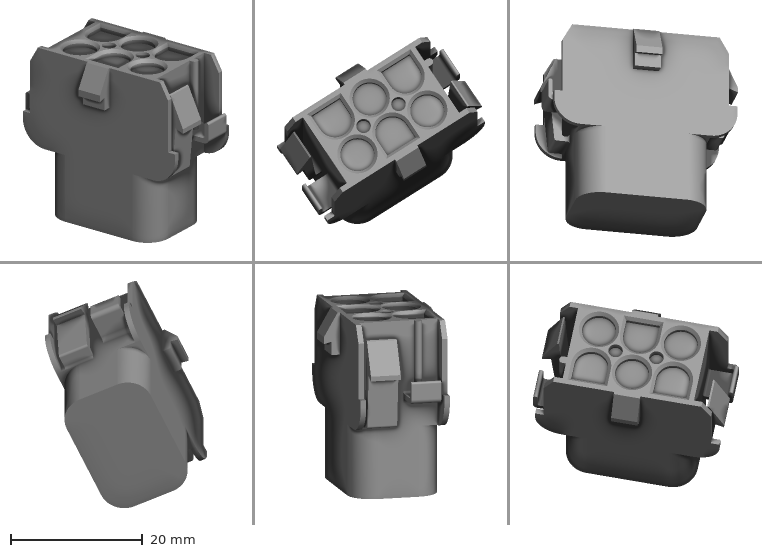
import cadquery as cq
import math


overlap = 0.3

height = 27.52
body_half_x = 10.15
body_half_y = 7.0
body_corner_radius = 3.83

plate_thickness = 0.85
plate_bottom_z = 11.03
plate_step_z = 16.32
plate_base_half_x = 14.27
plate_side_half_x = 12.95
plate_top_half_x = 11.47
plate_chamfer_height = 2.62
plate_corner_radius = plate_base_half_x - body_half_x

pocket_pitch = 6.33
pocket_mouth_radius = 3.05
pocket_chamfer = 0.48
pocket_radius = pocket_mouth_radius - pocket_chamfer
pocket_depth = 1.1
lead_in_angle = 45
small_hole_radius = 1.1

wedge_width = 4.05
wedge_top_half_y = 7.37
wedge_tip_span_y = 19.05
wedge_tip_half_y = wedge_tip_span_y / 2
wedge_stem_half_y = 8.32
wedge_slope_end_z = 23.85
wedge_tip_bottom_z = 22.75
wedge_undercut_z = 23.05
wedge_bottom_z = 20.98

clip_width = 4.7
clip_offset_y = pocket_pitch / 2

hook_outer_x = 14.85
hook_wall = 0.68
hook_tip_z = 18.85
hook_shelf_thickness = 0.8
hook_shelf_bottom_z = 15.4
hook_outer_radius = 0.7
hook_inner_radius = 0.45
hook_root_radius = 0.45

latch_tip_x = 14.68
latch_tip_bottom_z = 19.32
latch_slope_bottom_z = 20.05
latch_undercut_x = 13.3
latch_undercut_z = 19.85
latch_top_outer_x = 12.35
latch_top_outer_z = 25.02
latch_top_inner_x = 12.1
latch_top_inner_z = 25.17
latch_outer_base_x = 12.5
latch_inner_base_x = 11.32
latch_base_bottom_z = 11.5
latch_base_thickness = 0.8
latch_outer_radius = 0.4
latch_inner_radius = 0.42
latch_root_radius = 0.53

rib_width = 1.13
rib_reach = 1.13
rib_y = 3.0


def box_between(x_range, y_range, z_range):
    """Box spanning the given (low, high) ranges."""
    spans = [high - low for low, high in (x_range, y_range, z_range)]
    corner = (x_range[0], y_range[0], z_range[0])
    return cq.Workplane("XY").box(*spans, centered=False).translate(corner)


def make_body():
    """Rounded plug at the bottom, square-cornered block above it."""
    plug = (
        cq.Workplane("XY")
        .rect(2 * body_half_x, 2 * body_half_y)
        .extrude(plate_bottom_z)
        .edges("|Z")
        .fillet(body_corner_radius)
    )
    block = box_between(
        (-body_half_x, body_half_x), (-body_half_y, body_half_y), (plate_bottom_z, height)
    )
    return plug.union(block)


def make_plate():
    """Wing plate standing against the -Y face."""
    arc_z = plate_bottom_z + plate_corner_radius
    arc_middle_x = body_half_x + plate_corner_radius * math.sqrt(0.5)
    arc_middle_z = arc_z - plate_corner_radius * math.sqrt(0.5)
    shoulder_z = height - plate_chamfer_height
    return (
        cq.Workplane("XZ", origin=(0, -body_half_y, 0))
        .moveTo(-body_half_x, plate_bottom_z)
        .lineTo(body_half_x, plate_bottom_z)
        .threePointArc((arc_middle_x, arc_middle_z), (plate_base_half_x, arc_z))
        .lineTo(plate_base_half_x, plate_step_z)
        .lineTo(plate_side_half_x, plate_step_z)
        .lineTo(plate_side_half_x, shoulder_z)
        .lineTo(plate_top_half_x, height)
        .lineTo(-plate_top_half_x, height)
        .lineTo(-plate_side_half_x, shoulder_z)
        .lineTo(-plate_side_half_x, plate_step_z)
        .lineTo(-plate_base_half_x, plate_step_z)
        .lineTo(-plate_base_half_x, arc_z)
        .threePointArc((-arc_middle_x, arc_middle_z), (-body_half_x, plate_bottom_z))
        .close()
        .extrude(-plate_thickness)
    )


def make_wedge():
    """Locking wedge with an undercut tip on the +Y face."""
    root_y = body_half_y - overlap
    outline = [
        (root_y, height),
        (wedge_top_half_y, height),
        (wedge_tip_half_y, wedge_slope_end_z),
        (wedge_tip_half_y, wedge_tip_bottom_z),
        (wedge_stem_half_y, wedge_undercut_z),
        (wedge_stem_half_y, wedge_bottom_z),
        (root_y, wedge_bottom_z),
    ]
    return cq.Workplane("YZ").polyline(outline).close().extrude(wedge_width / 2, both=True)


def clip_from_outline(outline, centre_y):
    """Closed XZ outline, extruded to the clip width about centre_y."""
    clip = cq.Workplane("XZ").polyline(outline).close().extrude(clip_width / 2, both=True)
    return clip.translate((0, centre_y, 0))


def round_edge(solid, x, z, radius):
    """Fillet the edge along Y that passes through (x, z)."""
    reach = 0.015
    edge_box = cq.selectors.BoxSelector(
        (x - reach, -body_half_y, z - reach), (x + reach, body_half_y, z + reach)
    )
    return solid.edges(edge_box).fillet(radius)


def make_hook():
    """J-shaped hook on the +X side, +Y half."""
    shelf_top_z = hook_shelf_bottom_z + hook_shelf_thickness
    lip_x = hook_outer_x - hook_wall
    root_top_z = shelf_top_z + 2 * hook_root_radius
    root_bottom_z = hook_shelf_bottom_z - 2 * hook_outer_radius
    tip_radius = hook_wall / 2
    root_x = body_half_x - overlap
    outline = [
        (root_x, root_bottom_z),
        (body_half_x, root_bottom_z),
        (body_half_x, hook_shelf_bottom_z),
        (hook_outer_x, hook_shelf_bottom_z),
        (hook_outer_x, hook_tip_z - tip_radius),
        (lip_x, hook_tip_z - tip_radius),
        (lip_x, shelf_top_z),
        (body_half_x, shelf_top_z),
        (body_half_x, root_top_z),
        (root_x, root_top_z),
    ]
    hook = clip_from_outline(outline, clip_offset_y)
    hook = round_edge(hook, body_half_x, hook_shelf_bottom_z, hook_outer_radius)
    hook = round_edge(hook, hook_outer_x, hook_shelf_bottom_z, hook_outer_radius)
    hook = round_edge(hook, lip_x, shelf_top_z, hook_inner_radius)
    hook = round_edge(hook, body_half_x, shelf_top_z, hook_root_radius)
    tip = (
        cq.Workplane("XZ")
        .center(hook_outer_x - tip_radius, hook_tip_z - tip_radius)
        .circle(tip_radius)
        .extrude(clip_width / 2, both=True)
        .translate((0, clip_offset_y, 0))
    )
    return hook.union(tip)


def make_latch():
    """Sprung latch on the +X side, -Y half, standing on a short foot."""
    foot_top_z = latch_base_bottom_z + latch_base_thickness
    root_top_z = foot_top_z + 2 * latch_root_radius
    root_x = body_half_x - overlap
    outline = [
        (root_x, plate_bottom_z),
        (body_half_x, plate_bottom_z),
        (body_half_x, latch_base_bottom_z),
        (latch_outer_base_x, latch_base_bottom_z),
        (latch_undercut_x, latch_undercut_z),
        (latch_tip_x, latch_tip_bottom_z),
        (latch_tip_x, latch_slope_bottom_z),
        (latch_top_outer_x, latch_top_outer_z),
        (latch_top_inner_x, latch_top_inner_z),
        (latch_inner_base_x, foot_top_z),
        (body_half_x, foot_top_z),
        (body_half_x, root_top_z),
        (root_x, root_top_z),
    ]
    latch = clip_from_outline(outline, -clip_offset_y)
    latch = round_edge(latch, body_half_x, latch_base_bottom_z, latch_outer_radius)
    latch = round_edge(latch, latch_outer_base_x, latch_base_bottom_z, latch_outer_radius)
    latch = round_edge(latch, latch_inner_base_x, foot_top_z, latch_inner_radius)
    return round_edge(latch, body_half_x, foot_top_z, latch_root_radius)


def make_rib():
    """Round-nosed keying rib from the top face down to the hook's shelf."""
    nose_radius = rib_width / 2
    nose_x = body_half_x + rib_reach - nose_radius
    base_z = hook_shelf_bottom_z + hook_shelf_thickness / 2
    web = box_between(
        (body_half_x - overlap, nose_x),
        (rib_y - nose_radius, rib_y + nose_radius),
        (base_z, height),
    )
    nose = (
        cq.Workplane("XY", origin=(nose_x, rib_y, base_z))
        .circle(nose_radius)
        .extrude(height - base_z)
    )
    return web.union(nose)


def pocket_outline(x, y, radius, flat_side):
    """Circle, or a D whose square half points to flat_side (+1 or -1 along Y)."""
    plane = cq.Workplane("XY", origin=(x, y, height))
    if flat_side == 0:
        return plane.circle(radius)
    return (
        plane.moveTo(-radius, 0)
        .threePointArc((0, -flat_side * radius), (radius, 0))
        .lineTo(radius, flat_side * radius)
        .lineTo(-radius, flat_side * radius)
        .close()
    )


def make_pocket(x, y, flat_side):
    """Shallow contact pocket with a 45 degree lead-in at its mouth."""
    mouth = pocket_outline(x, y, pocket_mouth_radius, flat_side)
    lead_in = mouth.extrude(-pocket_chamfer, taper=lead_in_angle)
    well = pocket_outline(x, y, pocket_radius, flat_side).extrude(-pocket_depth)
    return lead_in.union(well)


part = make_body()
for turn in (0, 180):
    plate = make_plate().rotate((0, 0, 0), (0, 0, 1), turn)
    wedge = make_wedge().rotate((0, 0, 0), (0, 0, 1), turn)
    part = part.union(plate).union(wedge)

for turn in (0, 180):
    for clip in (make_hook(), make_latch()):
        part = part.union(clip.rotate((0, 0, 0), (0, 0, 1), turn))
part = part.union(make_rib())

for row in (-1, 1):
    for column in (-1, 0, 1):
        is_d_shaped = (column == 0) == (row == -1)
        flat_side = row if is_d_shaped else 0
        part = part.cut(make_pocket(column * pocket_pitch, row * pocket_pitch / 2, flat_side))

for side in (-1, 1):
    hole = (
        cq.Workplane("XY", origin=(side * pocket_pitch / 2, 0, height))
        .circle(small_hole_radius)
        .extrude(-pocket_depth)
    )
    part = part.cut(hole)

result = part